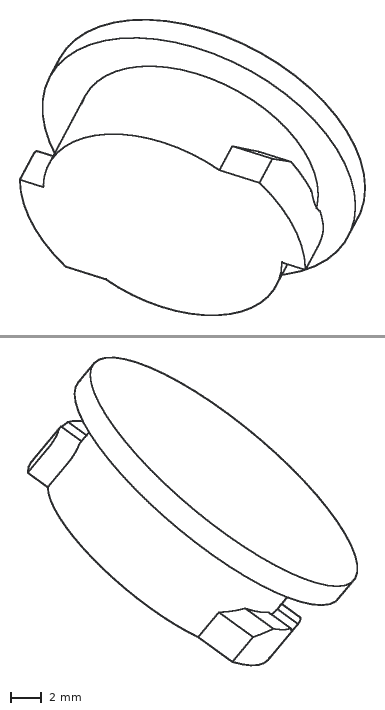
import cadquery as cq

flange_diameter = 21.97
flange_thickness = 1.67
total_depth = 7.87
barrel_radius = 8.37
lug_radius = 10.02
lug_height = 7.35
lug_depth = 3.16
lug_edge = 0.97
detent_offset = 3.19
detent_depth = 0.26
detent_radius = 1.54


def disc(radius, start, depth):
    """Cylinder on the Y axis from Y = start towards +Y."""
    return cq.Workplane("XZ", origin=(0, start, 0)).circle(radius).extrude(-depth)


def make_lug():
    """Lug on the +X side, with its back edges eased and a detent groove across its back."""
    profile = (
        cq.Workplane("YZ")
        .moveTo(0, 0)
        .lineTo(0, lug_height)
        .lineTo(lug_depth - lug_edge, lug_height)
        .lineTo(lug_depth, lug_height - lug_edge)
        .lineTo(lug_depth, lug_edge)
        .radiusArc((lug_depth - lug_edge, 0), lug_edge)
        .close()
        .extrude(lug_radius)
    )
    groove = (
        cq.Workplane("YZ")
        .center(lug_depth - detent_depth + detent_radius, detent_offset)
        .circle(detent_radius)
        .extrude(lug_radius)
    )
    return profile.cut(groove).intersect(disc(lug_radius, 0, lug_depth))


flange = disc(flange_diameter / 2, total_depth - flange_thickness, flange_thickness)
barrel = disc(barrel_radius, 0, total_depth)
lug = make_lug()
opposite_lug = lug.rotate((0, 0, 0), (0, 1, 0), 180)

result = flange.union(barrel).union(lug).union(opposite_lug)